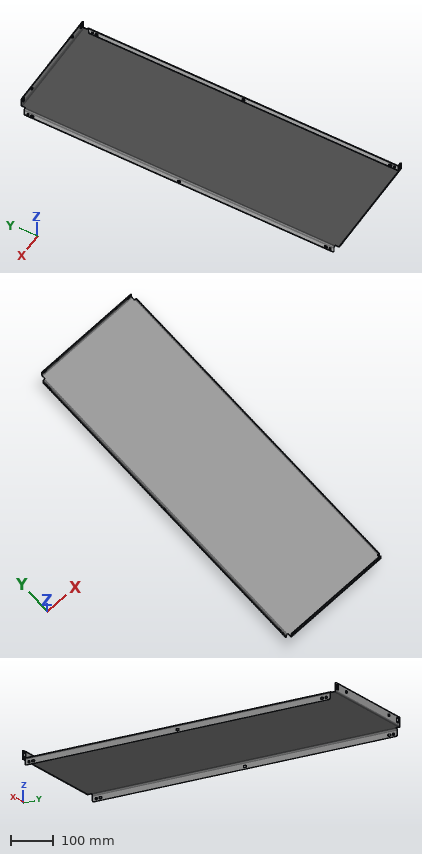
import cadquery as cq

overall_width = 298.0
overall_length = 869.0
overall_height = 43.0

sheet = 1.5
side_bend_radius = 4.0
end_bend_radius = 3.0

side_flange_height = 20.0
side_flange_length = 845.5
end_flange_height = overall_height - side_flange_height + sheet
end_flange_width = 285.0
flange_corner_radius = 4.0

end_hole_height = 33.0
end_hole_offset = 94.0
end_hole_diameter = 6.0
end_slot_offset = 133.0
end_slot_length = 14.0
end_slot_width = 8.0

side_hole_height = 7.0
side_hole_offset = 412.0
side_slot_offset = 401.0
side_hole_diameter = 5.0
side_slot_length = 8.0


def rounded_block(span, length, height, radius):
    """Block standing on z = 0 with its two long top edges rounded."""
    block = cq.Workplane("XY").box(span, length, height, centered=(True, True, False))
    return block.edges("|Y and >Z").fillet(radius)


def channel(span, length, height, bend_radius):
    """Sheet channel along Y: web on top, two flanges hanging down to z = 0."""
    outer = rounded_block(span, length, height, bend_radius)
    inner = rounded_block(span - 2 * sheet, length, height - sheet, bend_radius - sheet)
    folded = outer.cut(inner)
    return folded.edges("|X and <Z").edges("<Y or >Y").fillet(flange_corner_radius)


def end_flange_holes():
    """Round holes and upright slots that pass through both end flanges."""
    plane = cq.Workplane("XZ", origin=(0, 0, end_hole_height))
    holes = plane.pushPoints([(-end_hole_offset, 0), (end_hole_offset, 0)])
    holes = holes.circle(end_hole_diameter / 2).extrude(overall_length, both=True)
    slots = plane.pushPoints([(-end_slot_offset, 0), (end_slot_offset, 0)])
    slots = slots.slot2D(end_slot_length, end_slot_width, 90).extrude(overall_length, both=True)
    return holes.add(slots).combine()


def side_flange_holes():
    """Round holes and lengthwise slots that pass through both side flanges."""
    plane = cq.Workplane("YZ", origin=(0, 0, side_hole_height))
    holes = plane.pushPoints([(-side_hole_offset, 0), (side_hole_offset, 0)])
    holes = holes.circle(side_hole_diameter / 2).extrude(overall_width, both=True)
    slots = plane.pushPoints([(-side_slot_offset, 0), (0, 0), (side_slot_offset, 0)])
    slots = slots.slot2D(side_slot_length, side_hole_diameter).extrude(overall_width, both=True)
    return holes.add(slots).combine()


side_channel = channel(overall_width, side_flange_length, side_flange_height, side_bend_radius)

end_channel = (
    channel(overall_length, end_flange_width, end_flange_height, end_bend_radius)
    .rotate((0, 0, 0), (0, 0, 1), 90)
    .rotate((0, 0, 0), (1, 0, 0), 180)
    .translate((0, 0, overall_height))
)

shelf = side_channel.union(end_channel)

result = shelf.cut(end_flange_holes()).cut(side_flange_holes())